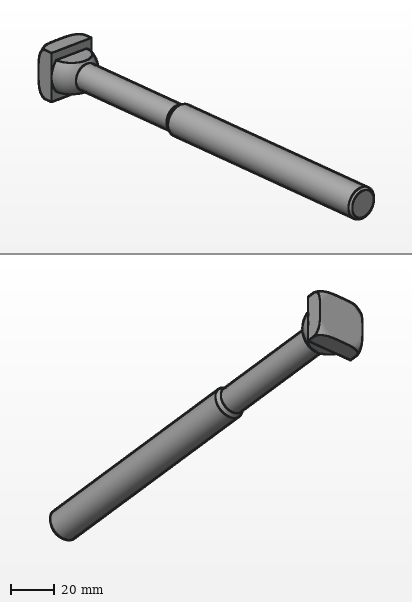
import cadquery as cq
import math

head_width = 25.0
head_thickness = 9.0
shank_length = 200.0
thread_length = 125.0
thread_diameter = 16.0
shank_diameter = 13.546
neck_thickness = thread_diameter
head_corner_fillet = 5.0
runout_length_ratio = 2.0

total_length = head_thickness + shank_length
thread_start = total_length - thread_length
thread_radius = thread_diameter / 2
shank_radius = shank_diameter / 2
thread_depth = thread_radius - shank_radius
runout_length = runout_length_ratio * thread_depth
head_radius = head_width / 2
head_corner_radius = head_radius * math.sqrt(2)


def revolve_about_x(profile):
    """Turn a closed (X, radius) profile one full turn about the X axis."""
    return profile.close().revolve(360, (0, 0, 0), (1, 0, 0))


def make_head():
    """Square head whose outer corners are rounded over by a turned fillet."""
    block = cq.Workplane("YZ").rect(head_width, head_width).extrude(head_thickness)
    rounded_disc = (
        cq.Workplane("YZ")
        .circle(head_corner_radius)
        .extrude(head_thickness)
        .faces("<X")
        .edges()
        .fillet(head_corner_fillet)
    )
    return block.intersect(rounded_disc)


def make_neck():
    """Hemisphere behind the head, flattened to the neck thickness along Z."""
    hemisphere = revolve_about_x(
        cq.Workplane("XY")
        .moveTo(head_thickness, 0)
        .lineTo(head_thickness, head_radius)
        .radiusArc((head_thickness + head_radius, 0), head_radius)
    )
    slab = (
        cq.Workplane("YZ")
        .workplane(offset=head_thickness)
        .rect(head_width, neck_thickness)
        .extrude(head_radius)
    )
    return hemisphere.intersect(slab)


def make_shank():
    """Plain shank, tapered run-out and full-diameter thread section with a chamfered end."""
    return revolve_about_x(
        cq.Workplane("XY")
        .moveTo(head_thickness, 0)
        .lineTo(head_thickness, shank_radius)
        .lineTo(thread_start - runout_length, shank_radius)
        .lineTo(thread_start, thread_radius)
        .lineTo(total_length - thread_depth, thread_radius)
        .lineTo(total_length, shank_radius)
        .lineTo(total_length, 0)
    )


result = make_head().union(make_neck()).union(make_shank())